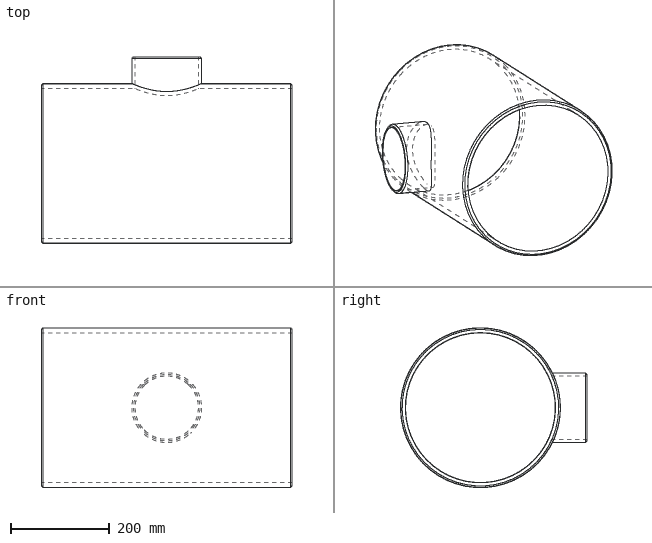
import cadquery as cq


RUN_LENGTH = 508.0
RUN_DIAMETER = 323.85
RUN_WALL = 10.31

BRANCH_REACH = 215.9
BRANCH_DIAMETER = 141.3
BRANCH_WALL = 6.55

END_CHAMFER = RUN_WALL / 3

X_AXIS = cq.Vector(1, 0, 0)
Y_AXIS = cq.Vector(0, 1, 0)


def rod(axis, start, end, diameter):
    """Solid cylinder along an axis through the origin, between two stations."""
    cylinder = cq.Solid.makeCylinder(diameter / 2, end - start, axis * start, axis)
    return cq.Workplane(obj=cylinder)


def main_pipe(diameter):
    """Rod of the main pipe's full length, centred on the origin."""
    return rod(X_AXIS, -RUN_LENGTH / 2, RUN_LENGTH / 2, diameter)


def branch_pipe(diameter):
    """Rod from the main pipe axis out to the branch end."""
    return rod(Y_AXIS, 0, BRANCH_REACH, diameter)


main_body = main_pipe(RUN_DIAMETER).faces("|X").edges().chamfer(END_CHAMFER)
branch_body = branch_pipe(BRANCH_DIAMETER).faces(">Y").edges().chamfer(END_CHAMFER)

main_bore = main_pipe(RUN_DIAMETER - 2 * RUN_WALL)
branch_bore = branch_pipe(BRANCH_DIAMETER - 2 * BRANCH_WALL)

result = main_body.union(branch_body).cut(main_bore).cut(branch_bore)